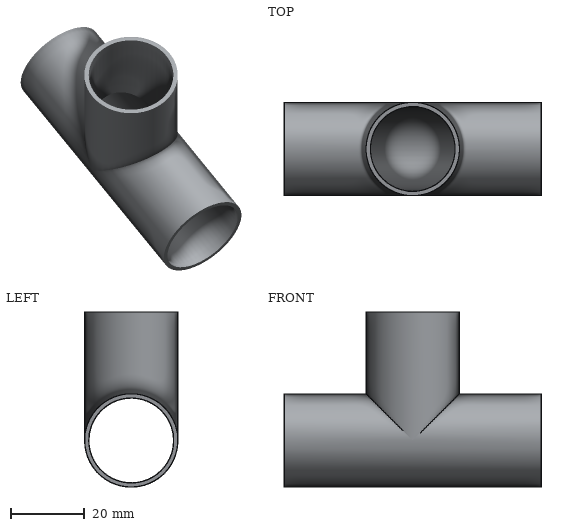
import cadquery as cq

run_length = 70.0
outer_diameter = 25.4
bore_diameter = 23.0
branch_height = run_length / 2


def tee(diameter):
    """Run and branch cylinders of one diameter, meeting at the origin."""
    run = cq.Workplane("YZ").circle(diameter / 2).extrude(run_length / 2, both=True)
    branch = cq.Workplane("XY").circle(diameter / 2).extrude(branch_height)
    return run.union(branch)


result = tee(outer_diameter).cut(tee(bore_diameter))